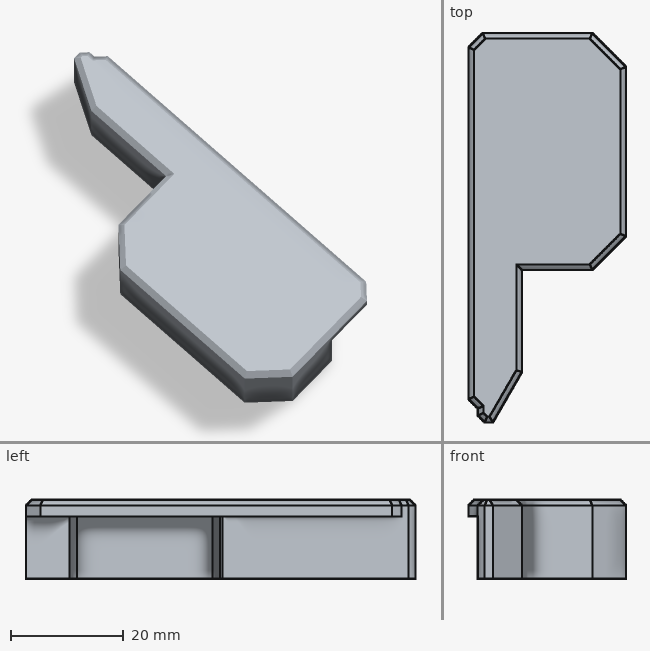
import cadquery as cq
import math

width = 27.95
length = 69.05
height = 14.0

plate_thickness = 3.0
bevel = 1.05
lip = 1.65

arm_right = 9.5
head_front = 27.0
head_corner = 6.0
rear_left_corner = 2.55

nose_left = 2.9
nose_right = 4.35
nose_corner_length = nose_left - lip
nose_angle = 60.0
nose_length = (arm_right - nose_right) * math.tan(math.radians(nose_angle))
lip_front = 2.5

recess_front = 34.65
recess_rear = length - 7.7
recess_end = 20.3
recess_corner = 1.3
mouth_corner = 0.5
rear_wall_left = 11.75


def right_side_points():
    """Points shared by plate and body, from the nose round to the rear edge."""
    return [
        (nose_left, 0),
        (nose_right, 0),
        (arm_right, nose_length),
        (arm_right, head_front),
        (width - head_corner, head_front),
        (width, head_front + head_corner),
        (width, length - head_corner),
        (width - head_corner, length),
    ]


def prism(points, base, top):
    return cq.Workplane("XY").workplane(offset=base).polyline(points).close().extrude(top - base)


def make_plate():
    left_side = [
        (rear_left_corner, length),
        (0, length - rear_left_corner),
        (0, lip_front + lip),
        (lip, lip_front),
        (lip, nose_corner_length),
    ]
    plate = prism(right_side_points() + left_side, height - plate_thickness, height)
    return plate.faces(">Z").chamfer(bevel)


def make_body():
    recess_side = [
        (rear_wall_left, length),
        (rear_wall_left, recess_rear),
        (recess_end - recess_corner, recess_rear),
        (recess_end, recess_rear - recess_corner),
        (recess_end, recess_front + recess_corner),
        (recess_end - recess_corner, recess_front),
        (lip + mouth_corner, recess_front),
        (lip, recess_front - mouth_corner),
        (lip, nose_corner_length),
    ]
    return prism(right_side_points() + recess_side, 0, height - plate_thickness)


result = make_plate().union(make_body()).clean()